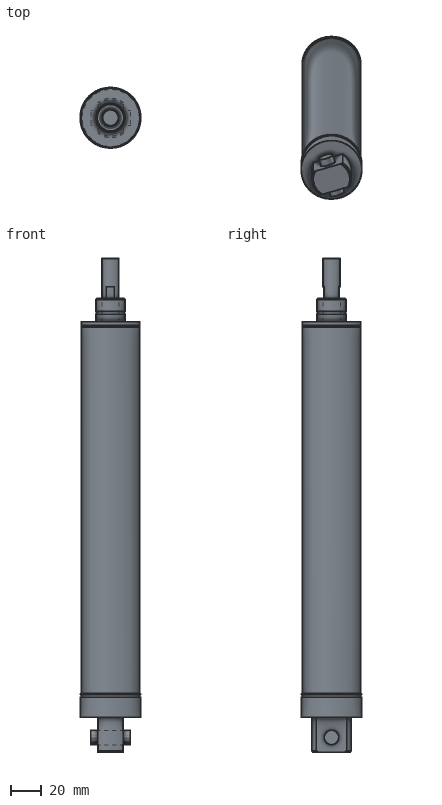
import cadquery as cq

overall_length = 322.58

end_cap_radius = 39.62 / 2
tube_radius = 38.5 / 2
collar_radius = 19.05 / 2
tang_radius = 25.8 / 2
tang_bottom = -9.78
tang_chamfer = 1.0
tang_thickness = 16.4
end_cap_bottom = 13.1
end_cap_top = 26.3
tube_top = 271.4
collar_top = 286.6
collar_chamfer = 0.9

bead_height = 0.5
bead_z = 28.2
tube_groove_depth = 0.6
tube_groove_z = 268.4
collar_groove_width = 2.1
collar_groove_depth = 0.45
collar_groove_z = 277.1

rod_radius = 11.1 / 2
rod_top = tang_bottom + overall_length
rod_chamfer = 0.4
rod_socket_bottom = tube_top
flat_top = 294.2
flat_spacing = 9.8

pin_radius = 9.5 / 2
pin_length = 26.0


def make_pin():
    return cq.Workplane("YZ").circle(pin_radius).extrude(pin_length / 2, both=True)


def make_rod():
    rod = (
        cq.Workplane("XY", origin=(0, 0, rod_socket_bottom))
        .circle(rod_radius)
        .extrude(rod_top - rod_socket_bottom)
        .faces(">Z")
        .chamfer(rod_chamfer)
    )
    for side in (-1, 1):
        cutter = cq.Workplane("XY").box(
            2 * rod_radius, rod_radius, flat_top - collar_top, centered=(True, True, False)
        )
        cutter_y = side * (flat_spacing + rod_radius) / 2
        rod = rod.cut(cutter.translate((0, cutter_y, collar_top)))
    return rod


def make_tang():
    round_tang = (
        cq.Workplane("XY", origin=(0, 0, tang_bottom))
        .circle(tang_radius)
        .extrude(end_cap_bottom - tang_bottom)
        .faces("<Z")
        .chamfer(tang_chamfer)
    )
    slab = cq.Workplane("XY").box(tang_thickness, 2 * tang_radius, 2 * end_cap_bottom)
    return round_tang.intersect(slab)


def add_vee_ring(outline, middle_z, rise):
    """Continue the tube outline up over a 45 degree V: a bead if rise is positive, a groove if negative."""
    return (
        outline.lineTo(tube_radius, middle_z - abs(rise))
        .lineTo(tube_radius + rise, middle_z)
        .lineTo(tube_radius, middle_z + abs(rise))
    )


def add_round_groove(outline):
    """Continue the outline up through the shallow arc groove of the collar."""
    half_width = collar_groove_width / 2
    return outline.lineTo(collar_radius, collar_groove_z - half_width).threePointArc(
        (collar_radius - collar_groove_depth, collar_groove_z),
        (collar_radius, collar_groove_z + half_width),
    )


def make_barrel():
    """Turned end cap, tube and collar, drawn from bottom to top."""
    outline = (
        cq.Workplane("XZ")
        .moveTo(0, end_cap_bottom)
        .lineTo(end_cap_radius, end_cap_bottom)
        .lineTo(end_cap_radius, end_cap_top)
        .lineTo(tube_radius, end_cap_top)
    )
    outline = add_vee_ring(outline, bead_z, bead_height)
    outline = add_vee_ring(outline, tube_groove_z, -tube_groove_depth)
    outline = outline.lineTo(tube_radius, tube_top).lineTo(collar_radius, tube_top)
    outline = add_round_groove(outline)
    return (
        outline.lineTo(collar_radius, collar_top - collar_chamfer)
        .lineTo(collar_radius - collar_chamfer, collar_top)
        .lineTo(0, collar_top)
        .close()
        .revolve(360, (0, 0), (0, 1))
    )


pin = make_pin()
rod = make_rod()
body = make_barrel().union(make_tang()).cut(rod).cut(pin)

result = cq.Compound.makeCompound([body.val(), rod.val(), pin.val()])